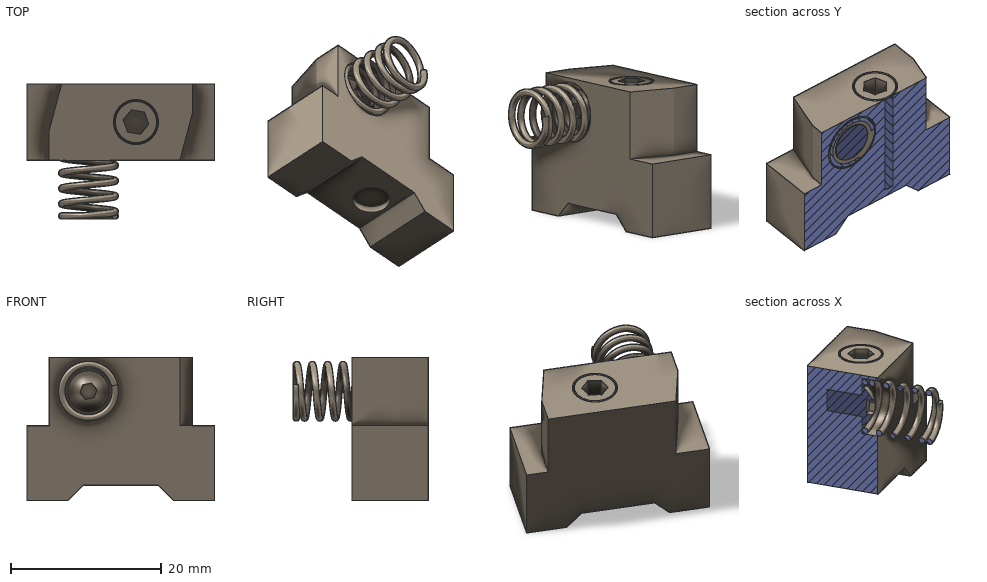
import cadquery as cq
import math

block_width = 25.0
block_depth = 10.2
block_height = 19.1
base_height = 10.0
shoulder = 2.95
straight_flank = 3.95
flank_angle = 15.0
notch_foot = 5.45
notch_height = 2.05

set_screw_x = 14.52
set_screw_diameter = 6.0
set_screw_chamfer = 0.25
countersink_angle = 90.0
set_screw_hex = 3.0
set_screw_hex_depth = 3.5
set_screw_hex_turn = -10.0
set_screw_length = 16.0
set_screw_tap = 5.0

pocket_x = 8.2
pocket_z = 14.58
pocket_diameter = 8.0
pocket_depth = 2.3

head_diameter = 5.5
head_height = 1.65
head_rim = 0.25
head_hex = 2.0
head_hex_depth = 1.0
head_hex_turn = 10.0
shank_diameter = 3.0
shank_tap = 2.5
shank_length = 5.0

wire_diameter = 0.88
spring_projection = 7.85
spring_pitch = 2.05
joint_angle = 103.0
closed_sweep = 270.0

coil_radius = (pocket_diameter - wire_diameter) / 2
front_coil_y = -spring_projection + wire_diameter / 2
rear_coil_y = pocket_depth - wire_diameter / 2
helix_rise = rear_coil_y - front_coil_y
helix_turn = 360 * helix_rise / spring_pitch


def hexagon(plane, across_flats, depth, turn):
    corner_diameter = across_flats / math.cos(math.radians(30))
    return cq.Workplane(plane).transformed(rotate=(0, 0, turn)).polygon(6, corner_diameter).extrude(-depth)


def pocket_plane(y):
    """Plane facing the front, centred on the spring pocket axis at depth y."""
    return cq.Plane(origin=(pocket_x, y, pocket_z), xDir=(1, 0, 0), normal=(0, -1, 0))


def make_block(set_screw, button_screw):
    right = block_width - shoulder
    lean = (block_depth - straight_flank) * math.tan(math.radians(flank_angle))
    base = cq.Workplane("XY").box(block_width, block_depth, base_height, centered=False)
    upper = (
        cq.Workplane("XY")
        .polyline([
            (shoulder, 0),
            (right - lean, 0),
            (right, block_depth - straight_flank),
            (right, block_depth),
            (shoulder + lean, block_depth),
            (shoulder, straight_flank),
        ])
        .close()
        .extrude(block_height)
    )
    notch = (
        cq.Workplane("XZ")
        .polyline([
            (notch_foot, 0),
            (notch_foot + notch_height, notch_height),
            (block_width - notch_foot - notch_height, notch_height),
            (block_width - notch_foot, 0),
        ])
        .close()
        .extrude(-block_depth)
    )
    pocket = cq.Workplane(pocket_plane(0)).circle(pocket_diameter / 2).extrude(-pocket_depth)
    body = base.union(upper).cut(notch).cut(pocket)
    body = (
        body.faces(">Z")
        .workplane(origin=(set_screw_x, block_depth / 2, block_height))
        .cskHole(set_screw_tap, set_screw_diameter, countersink_angle)
    )
    shank_hole = cq.Workplane(pocket_plane(pocket_depth)).circle(shank_tap / 2).extrude(-shank_length)
    return body.cut(shank_hole).cut(set_screw).cut(button_screw)


def make_set_screw():
    top = cq.Plane(origin=(set_screw_x, block_depth / 2, block_height))
    body = (
        cq.Workplane(top)
        .circle(set_screw_diameter / 2)
        .extrude(-set_screw_length)
        .faces(">Z or <Z")
        .chamfer(set_screw_chamfer)
    )
    return body.cut(hexagon(top, set_screw_hex, set_screw_hex_depth, set_screw_hex_turn))


def make_button_screw():
    rim_radius = head_diameter / 2
    dome_height = head_height - head_rim
    dome_radius = (rim_radius**2 + dome_height**2) / (2 * dome_height)
    half_angle = math.asin(rim_radius / dome_radius) / 2
    dome_middle = (
        dome_radius * math.sin(half_angle),
        -head_height + dome_radius * (1 - math.cos(half_angle)),
    )
    head_seat = pocket_plane(pocket_depth)
    profile_plane = cq.Plane(origin=head_seat.origin, xDir=(1, 0, 0), normal=(0, 0, 1))
    screw = (
        cq.Workplane(profile_plane)
        .moveTo(0, shank_length)
        .lineTo(shank_diameter / 2, shank_length)
        .lineTo(shank_diameter / 2, 0)
        .lineTo(rim_radius, 0)
        .lineTo(rim_radius, -head_rim)
        .threePointArc(dome_middle, (0, -head_height))
        .close()
        .revolve(360, (0, 0), (0, 1))
    )
    socket = hexagon(pocket_plane(pocket_depth - head_height), head_hex, head_hex_depth, head_hex_turn)
    return screw.cut(socket)


def make_closed_coil(y, start_angle):
    """Flat end coil that starts at the given angle and runs anticlockwise seen from the front."""
    ring = (
        cq.Workplane("XY")
        .center(coil_radius, 0)
        .circle(wire_diameter / 2)
        .revolve(closed_sweep, (-coil_radius, 0), (-coil_radius, -1))
    )
    return ring.rotate((0, 0, 0), (0, 1, 0), -start_angle).translate((pocket_x, y, pocket_z))


def make_spring():
    helix = cq.Wire.makeHelix(spring_pitch, helix_rise, coil_radius)
    coils = (
        cq.Workplane("XZ", origin=(coil_radius, 0, 0))
        .circle(wire_diameter / 2)
        .sweep(cq.Workplane(obj=helix), isFrenet=True)
        .rotate((0, 0, 0), (1, 0, 0), -90)
        .rotate((0, 0, 0), (0, 1, 0), -joint_angle)
        .translate((pocket_x, front_coil_y, pocket_z))
    )
    front_coil = make_closed_coil(front_coil_y, joint_angle)
    rear_coil = make_closed_coil(rear_coil_y, joint_angle - helix_turn - closed_sweep)
    return coils.union(front_coil).union(rear_coil)


set_screw = make_set_screw()
button_screw = make_button_screw()
spring = make_spring()
block = make_block(set_screw, button_screw)

bodies = [block, set_screw, button_screw, spring]
result = cq.Compound.makeCompound([body.solids().val() for body in bodies])